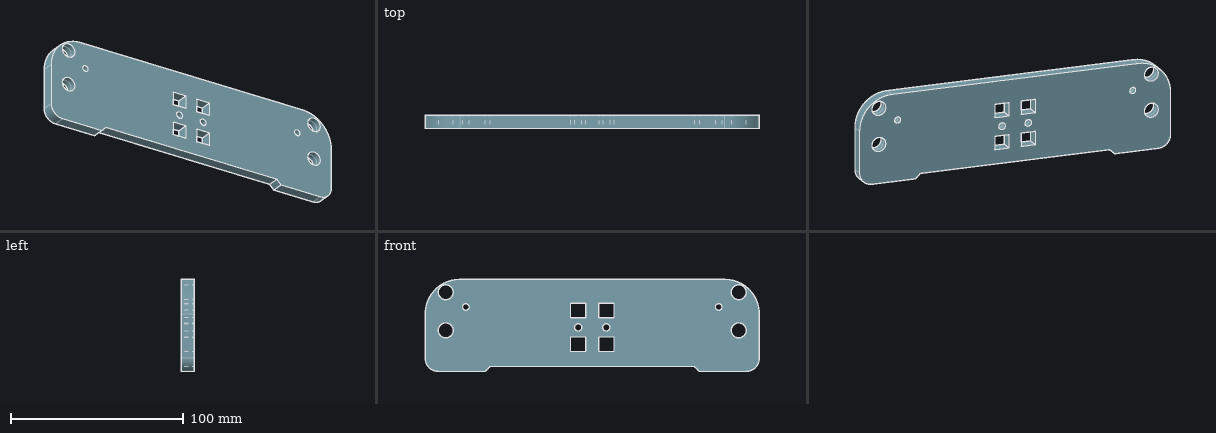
import cadquery as cq

length = 194.0
thickness = 7.8
height = 53.5
top_corner_radius = 20.2
bottom_corner_radius = 7.8

relief_depth = 3.0
relief_bottom_width = 124.2
relief_top_width = relief_bottom_width - 2 * relief_depth

mount_diameter = 8.5
mount_spacing = 170.0
mount_heights = (23.9, 46.0)
pin_diameter = 3.7
pin_spacing = 146.7
pin_height = 37.5
screw_diameter = 4.0
column_spacing = 16.3
screw_height = 25.6

window_width = 8.7
window_height = 8.1
window_pitch = 19.5


def mirrored_pair(spacing, z):
    """Two points placed evenly about the middle of the plate."""
    return [(-spacing / 2, z), (spacing / 2, z)]


def make_plate():
    """Upright plate with rounded corners, its thickness centred on Y."""
    plate = (
        cq.Workplane("XZ")
        .center(0, height / 2)
        .rect(length, height)
        .extrude(thickness / 2, both=True)
    )
    plate = plate.edges("|Y and >Z").fillet(top_corner_radius)
    return plate.edges("|Y and <Z").fillet(bottom_corner_radius)


def make_relief():
    """Trapezoid that narrows upward from the bottom edge."""
    return (
        cq.Workplane("XZ")
        .moveTo(-relief_bottom_width / 2, 0)
        .lineTo(relief_bottom_width / 2, 0)
        .lineTo(relief_top_width / 2, relief_depth)
        .lineTo(-relief_top_width / 2, relief_depth)
        .close()
        .extrude(thickness, both=True)
    )


def make_holes(diameter, points):
    """Round cutters that pass right through the plate."""
    return (
        cq.Workplane("XZ")
        .pushPoints(points)
        .circle(diameter / 2)
        .extrude(thickness, both=True)
    )


def make_windows():
    """Rectangular cutters that pass right through the plate."""
    points = []
    for offset in (-window_pitch / 2, window_pitch / 2):
        points += mirrored_pair(column_spacing, screw_height + offset)
    return (
        cq.Workplane("XZ")
        .pushPoints(points)
        .rect(window_width, window_height)
        .extrude(thickness, both=True)
    )


result = make_plate().cut(make_relief()).cut(make_windows())
for mount_height in mount_heights:
    result = result.cut(make_holes(mount_diameter, mirrored_pair(mount_spacing, mount_height)))
result = result.cut(make_holes(pin_diameter, mirrored_pair(pin_spacing, pin_height)))
result = result.cut(make_holes(screw_diameter, mirrored_pair(column_spacing, screw_height)))